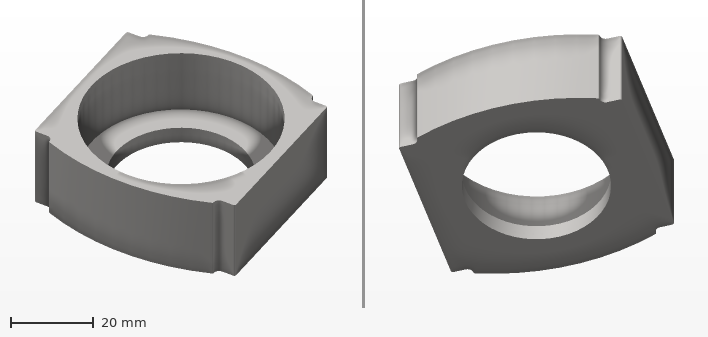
import cadquery as cq
import math

width = 56.2
depth = 56.14
height = 22.0
shoulder_depth = 44.0
corner_radius = 0.5

crown_half_width = 23.0
crown_radius = 64.0
tip_radius = 0.4
relief_radius = 1.5

bore_diameter = 50.0
hole_diameter = 36.0
floor_thickness = 4.5


def shoulder_block():
    """Rectangular body with its vertical corners rounded."""
    block = cq.Workplane("XY").box(width, shoulder_depth, height, centered=(True, True, False))
    return block.edges("|Z").fillet(corner_radius)


def curved_side(side):
    """Crowned pad on the +Y (side = 1) or -Y (side = -1) face, with concave fillets at its foot."""
    foot_y = side * shoulder_depth / 2
    relief_center_x = crown_half_width + relief_radius
    relief_top_y = side * (shoulder_depth / 2 + relief_radius)
    relief_mid_x = relief_center_x - relief_radius * math.sqrt(0.5)
    relief_mid_y = relief_top_y - side * relief_radius * math.sqrt(0.5)
    crown_drop = crown_radius - math.sqrt(crown_radius**2 - crown_half_width**2)
    crown_end_y = side * (depth / 2 - crown_drop)
    pad = (
        cq.Workplane("XY")
        .moveTo(-relief_center_x, 0)
        .lineTo(-relief_center_x, foot_y)
        .threePointArc((-relief_mid_x, relief_mid_y), (-crown_half_width, relief_top_y))
        .lineTo(-crown_half_width, crown_end_y)
        .threePointArc((0, side * depth / 2), (crown_half_width, crown_end_y))
        .lineTo(crown_half_width, relief_top_y)
        .threePointArc((relief_mid_x, relief_mid_y), (relief_center_x, foot_y))
        .lineTo(relief_center_x, 0)
        .close()
        .extrude(height)
    )
    for tip_x in (-crown_half_width, crown_half_width):
        tip_point = (tip_x, crown_end_y, height / 2)
        pad = pad.edges(cq.selectors.NearestToPointSelector(tip_point)).fillet(tip_radius)
    return pad


def stepped_bore():
    """Through hole with a wider bore open at the top."""
    hole = cq.Workplane("XY").circle(hole_diameter / 2).extrude(height)
    bore = (
        cq.Workplane("XY")
        .workplane(offset=floor_thickness)
        .circle(bore_diameter / 2)
        .extrude(height - floor_thickness)
    )
    return hole.union(bore)


body = shoulder_block()
for side in (1, -1):
    body = body.union(curved_side(side))

result = body.cut(stepped_bore())